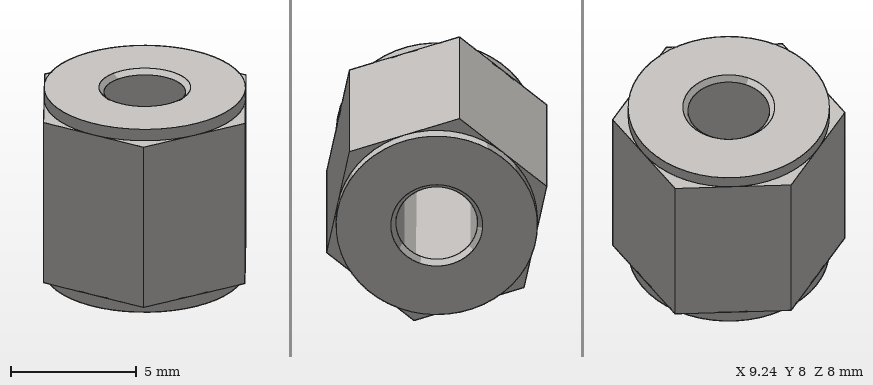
import cadquery as cq
import math

across_corners = 9.24
across_flats = across_corners * math.cos(math.radians(30))
total_height = across_flats
collar_height = 0.5
bore_diameter = 3.24
bore_chamfer = 0.2

hex_height = total_height - 2 * collar_height

hex_body = cq.Workplane("XY").polygon(6, across_corners).extrude(hex_height / 2, both=True)

collars = cq.Workplane("XY").circle(across_flats / 2).extrude(total_height / 2, both=True)

body = hex_body.union(collars)
bored_body = body.faces(">Z").workplane(origin=(0, 0, 0)).hole(bore_diameter)
bore_mouths = cq.selectors.RadiusNthSelector(0)
result = bored_body.faces("<Z or >Z").edges(bore_mouths).chamfer(bore_chamfer)